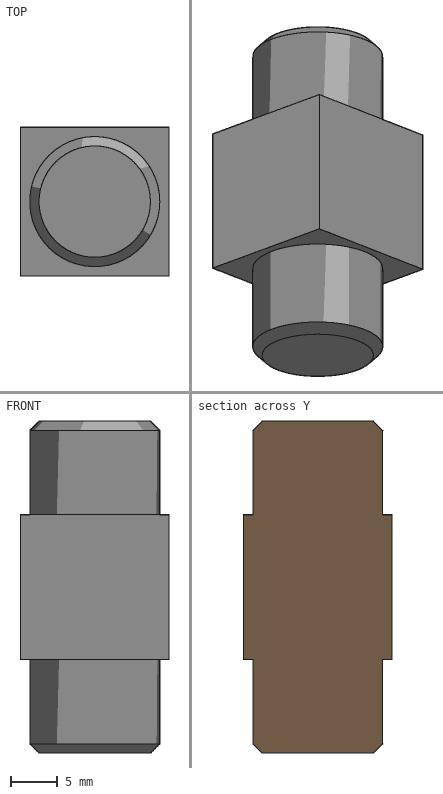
import cadquery as cq

block_width = 15.9
block_height = 15.5
pin_diameter = 13.9
pin_length = 10.0
pin_chamfer = 1.0

overall_height = block_height + 2 * pin_length


def make_pin():
    """Full-length round pin along Z, centred on the origin, chamfered at both ends."""
    pin = cq.Workplane("XY").circle(pin_diameter / 2).extrude(overall_height / 2, both=True)
    return pin.faces("|Z").edges().chamfer(pin_chamfer)


def make_block():
    """Square block centred on the origin."""
    return cq.Workplane("XY").box(block_width, block_width, block_height)


result = make_block().union(make_pin())